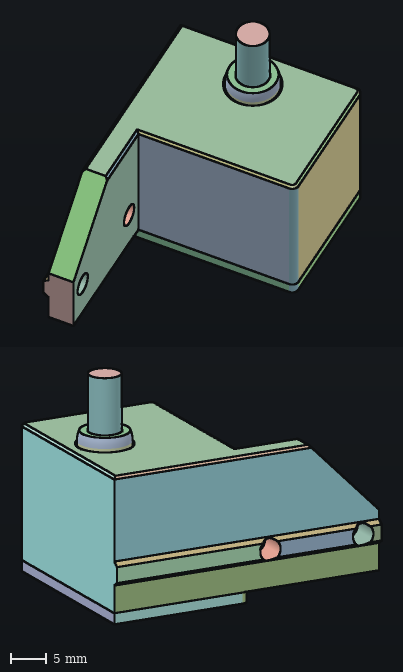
import cadquery as cq
import math


overall_length = 42.8
block_width = 29.0
block_depth = 21.8
block_front = overall_length - block_depth
cover_thickness = 1.7
housing_top = 22.15
corner_radius = 1.0
top_chamfer = 0.4

wall_thickness = 4.0
wall_end_height = 10.9
wall_slope_run = housing_top - wall_end_height

rail_projection = 0.85
rail_center_height = 7.65
rail_base_height = 3.6
rail_crest_height = 2.4

mount_hole_diameter = 3.3
mount_hole_end_distance = 3.0
mount_hole_pitch = 15.0
mount_hole_count = 2

axis_x = block_width / 2
axis_y = overall_length - 6.15
collar_diameter = 8.0
collar_radius = collar_diameter / 2
collar_bore_diameter = 5.0
collar_straight_rise = 0.4
collar_height = 2.0
seat_depth = 2.0
seat_floor = housing_top - seat_depth
seat_mouth_diameter = 8.5
seat_chamfer = (seat_mouth_diameter - collar_diameter) / 2
plunger_diameter = 4.85
plunger_top = 32.7


def block_prism(bottom, top):
    """Rectangular block with both corners away from the wall rounded."""
    return (
        cq.Workplane("XY")
        .box(block_width, block_depth, top - bottom, centered=False)
        .translate((0, block_front, bottom))
        .edges("|Z and >X")
        .fillet(corner_radius)
    )


def make_rail():
    base = rail_base_height / 2
    crest = rail_crest_height / 2
    return (
        cq.Workplane("XZ", origin=(0, 0, rail_center_height))
        .moveTo(0, -base)
        .lineTo(-rail_projection, -crest)
        .lineTo(-rail_projection, crest)
        .lineTo(0, base)
        .lineTo(wall_thickness / 2, base)
        .lineTo(wall_thickness / 2, -base)
        .close()
        .extrude(-overall_length)
    )


def make_wall_slope_cut():
    """Triangular prism that slants the free end of the wall."""
    return (
        cq.Workplane("YZ")
        .moveTo(0, wall_end_height)
        .lineTo(wall_slope_run, housing_top)
        .lineTo(0, housing_top)
        .close()
        .extrude(wall_thickness)
    )


def make_mount_holes():
    centers = [
        (mount_hole_end_distance + i * mount_hole_pitch, rail_center_height)
        for i in range(mount_hole_count)
    ]
    return (
        cq.Workplane("YZ", origin=(-rail_projection, 0, 0))
        .pushPoints(centers)
        .circle(mount_hole_diameter / 2)
        .extrude(rail_projection + wall_thickness)
    )


def make_seat():
    """Round seat for the collar, with a chamfered mouth."""
    mouth_radius = seat_mouth_diameter / 2
    return (
        cq.Workplane("XZ")
        .moveTo(0, seat_floor)
        .lineTo(collar_radius, seat_floor)
        .lineTo(collar_radius, housing_top - seat_chamfer)
        .lineTo(mouth_radius, housing_top)
        .lineTo(0, housing_top)
        .close()
        .revolve(360, (0, 0, 0), (0, 1, 0))
        .translate((axis_x, axis_y, 0))
    )


def make_housing():
    wall = (
        cq.Workplane("XY")
        .box(wall_thickness, overall_length, housing_top - cover_thickness, centered=False)
        .translate((0, 0, cover_thickness))
    )
    body = block_prism(cover_thickness, housing_top).union(wall).clean()
    body = body.faces(">Z").chamfer(top_chamfer)
    body = body.cut(make_wall_slope_cut())
    body = body.union(make_rail())
    return body.cut(make_mount_holes()).cut(make_seat())


def make_cover():
    """Bottom plate under the block, also rounded at its front corner below the wall."""
    return block_prism(0, cover_thickness).edges("|Z and <X and <Y").fillet(corner_radius)


def make_collar():
    """Ring with a straight foot and a spherical flank tangent to it."""
    bore_radius = collar_bore_diameter / 2
    flank_bottom = housing_top + collar_straight_rise
    collar_top = housing_top + collar_height
    flank_rise = collar_top - flank_bottom
    top_radius = math.sqrt(collar_radius**2 - flank_rise**2)
    middle_angle = math.asin(flank_rise / collar_radius) / 2
    flank_middle = (
        collar_radius * math.cos(middle_angle),
        flank_bottom + collar_radius * math.sin(middle_angle),
    )
    return (
        cq.Workplane("XZ")
        .moveTo(bore_radius, seat_floor)
        .lineTo(collar_radius, seat_floor)
        .lineTo(collar_radius, flank_bottom)
        .threePointArc(flank_middle, (top_radius, collar_top))
        .lineTo(bore_radius, collar_top)
        .close()
        .revolve(360, (0, 0, 0), (0, 1, 0))
        .translate((axis_x, axis_y, 0))
    )


def make_plunger():
    return (
        cq.Workplane("XY", origin=(axis_x, axis_y, seat_floor))
        .circle(plunger_diameter / 2)
        .extrude(plunger_top - seat_floor)
    )


housing = make_housing()
cover = make_cover()
collar = make_collar()
plunger = make_plunger()

bodies = [housing, cover, collar, plunger]
result = cq.Compound.makeCompound([body.solids().val() for body in bodies])